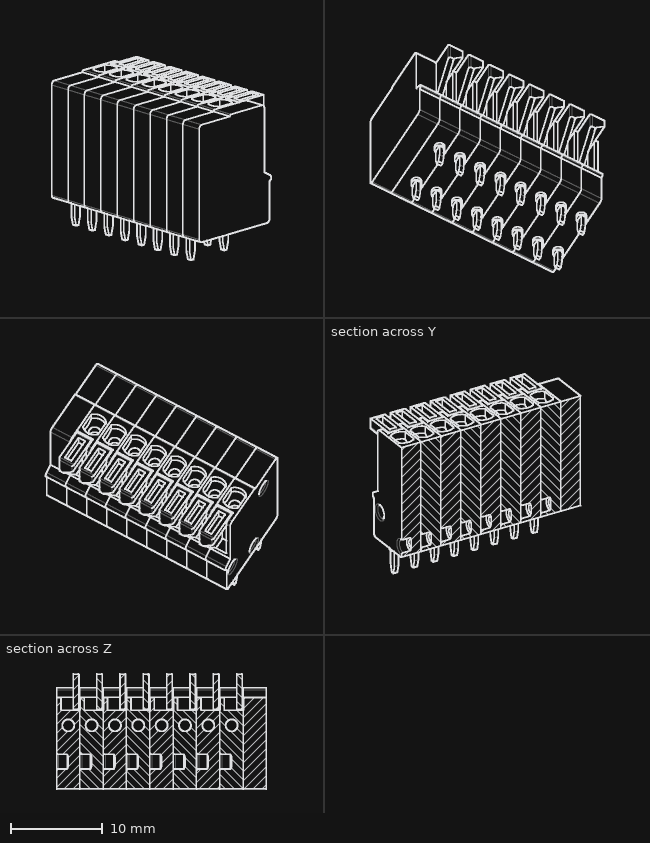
import cadquery as cq
import math

arc_middle_inset = 1 - math.sqrt(0.5)

module_count = 8
row_length = 22.82
end_plate_width = 2.5
module_width = (row_length - end_plate_width) / module_count

total_height = 17.0
pin_length = 3.4
housing_top = total_height - pin_length
top_step_y = 4.7
top_step_radius = 0.2
front_top = housing_top - top_step_radius
upper_back = 10.0
lower_back = 10.77
outer_radius = 0.4

rib_tip_y = 11.05
rib_slope_top = 5.89
rib_tip_top = 5.27
rib_tip_bottom = 4.9
rib_bottom = 4.65
rib_upper_radius = 0.5
rib_lower_radius = 0.11

lever_back = 12.6
lever_front = 8.67
lever_left = 0.6
lever_right = 2.45
lever_slope_top = 10.98
lever_slope_bottom = 6.65
lever_edge_radius = 0.2
neck_left = 1.8
undercut_top = 12.35
undercut_bottom = 11.1
undercut_radius = 0.52

blade_slot_width = 0.82
blade_slot_length = 2.88
blade_slot_depth = 1.1
blade_slot_y = 10.68

recess_left = 0.48
recess_front = 8.6

entry_y = 6.94
entry_radius = 1.3
entry_flat_width = 1.9
entry_depth = 0.9
entry_cone_depth = 0.8
wire_bore_radius = 0.65
wire_bore_depth = 1.15

socket_centers = [(3.0, 10.9), (9.55, 3.51), (5.02, 1.32)]
socket_radius = 0.78
socket_rim_radius = 0.2
socket_depth = 1.15
socket_floor_radius = 0.48
socket_cone_depth = 0.11

pin_x = 0.9
pin_y_centers = [2.8, 7.9]
pin_thickness = 0.52
pin_width = 0.85
pin_tip_width = 0.37
pin_taper_length = 1.0
collar_radius = 0.57
collar_height = 0.5


def housing_block(width):
    """Plain housing slice: the side profile extruded along X from X = 0."""
    arc_offset = top_step_radius * arc_middle_inset
    block = (
        cq.Workplane("YZ")
        .moveTo(0, 0)
        .lineTo(0, front_top)
        .lineTo(top_step_y, front_top)
        .threePointArc(
            (top_step_y + arc_offset, housing_top - arc_offset),
            (top_step_y + top_step_radius, housing_top),
        )
        .lineTo(upper_back, housing_top)
        .lineTo(upper_back, rib_slope_top)
        .lineTo(rib_tip_y, rib_tip_top)
        .lineTo(rib_tip_y, rib_tip_bottom)
        .lineTo(lower_back, rib_bottom)
        .lineTo(lower_back, 0)
        .close()
        .extrude(width)
    )

    def long_edge(y, z):
        return cq.selectors.NearestToPointSelector((width / 2, y, z))

    rounded_edges = [
        (0, 0, outer_radius),
        (0, front_top, outer_radius),
        (lower_back, 0, outer_radius),
        (upper_back, housing_top, outer_radius),
        (rib_tip_y, rib_tip_top, rib_upper_radius),
        (rib_tip_y, rib_tip_bottom, rib_lower_radius),
    ]
    for y, z, radius in rounded_edges:
        block = block.edges(long_edge(y, z)).fillet(radius)
    return block


def lever_recess():
    """Corner pocket cut down from the housing top around the lever."""
    return cq.Workplane("XY").box(
        module_width - recess_left,
        lever_back - recess_front,
        housing_top - lever_slope_bottom,
        centered=False,
    ).translate((recess_left, recess_front, lever_slope_bottom))


def lever():
    """Lever shaped by its side profile, its plan outline and its undercut cross-section."""
    side = (
        cq.Workplane("YZ")
        .moveTo(lever_front, lever_slope_bottom)
        .lineTo(lever_front, housing_top)
        .lineTo(lever_back, housing_top)
        .lineTo(lever_back, lever_slope_top)
        .lineTo(upper_back, lever_slope_bottom)
        .close()
        .extrude(module_width)
        .edges("|X and >Z")
        .fillet(lever_edge_radius)
    )
    lever_length = lever_back - lever_front
    plan = (
        cq.Workplane("XY")
        .box(lever_right - lever_left, lever_length, housing_top, centered=False)
        .edges("|Z")
        .fillet(lever_edge_radius)
        .translate((lever_left, lever_front, 0))
    )
    undercut = (
        cq.Workplane("XZ", origin=(0, lever_back, 0))
        .moveTo(lever_left, housing_top)
        .lineTo(lever_left, undercut_top)
        .lineTo(neck_left, undercut_bottom)
        .lineTo(neck_left, 0)
        .lineTo(lever_right, 0)
        .lineTo(lever_right, housing_top)
        .close()
        .extrude(lever_length)
    )
    for x, z in [(lever_left, undercut_top), (neck_left, undercut_bottom)]:
        bend = cq.selectors.NearestToPointSelector((x, blade_slot_y, z))
        undercut = undercut.edges(bend).fillet(undercut_radius)

    blade_slot = (
        cq.Workplane("XY", origin=((lever_left + lever_right) / 2, blade_slot_y, housing_top))
        .rect(blade_slot_width, blade_slot_length)
        .extrude(-blade_slot_depth)
    )
    return side.intersect(plan).intersect(undercut).cut(blade_slot)


def wire_entry():
    """Cutter for the wire entry, including the bore below its cone."""
    cone_top = housing_top - entry_depth
    bore_top = cone_top - entry_cone_depth
    bore_bottom = bore_top - wire_bore_depth
    funnel = (
        cq.Workplane("XZ")
        .moveTo(0, bore_bottom)
        .lineTo(wire_bore_radius, bore_bottom)
        .lineTo(wire_bore_radius, bore_top)
        .lineTo(entry_radius, cone_top)
        .lineTo(entry_radius, housing_top)
        .lineTo(0, housing_top)
        .close()
        .revolve(360, (0, 0, 0), (0, 1, 0))
    )
    between_flats = cq.Workplane("XY").box(
        entry_flat_width, 2 * entry_radius, housing_top, centered=(True, True, False)
    )
    return funnel.intersect(between_flats).translate((module_width / 2, entry_y, 0))


def socket(y, z):
    """Cutter for one blind socket with a rounded rim and a conical bottom."""
    rim = socket_rim_radius
    rim_middle = rim * arc_middle_inset
    floor_depth = socket_depth + socket_cone_depth
    return (
        cq.Workplane("XY")
        .moveTo(0, 0)
        .lineTo(0, socket_radius + rim)
        .threePointArc((rim_middle, socket_radius + rim_middle), (rim, socket_radius))
        .lineTo(socket_depth, socket_radius)
        .lineTo(floor_depth, socket_floor_radius)
        .lineTo(floor_depth, 0)
        .close()
        .revolve(360, (0, 0, 0), (1, 0, 0))
        .translate((0, y, z))
    )


def solder_pin(y):
    """Round collar under the housing with a flat tapered pin below it."""
    collar = (
        cq.Workplane("XY", origin=(pin_x, y, 0))
        .circle(collar_radius)
        .extrude(-collar_height)
    )
    taper_start = pin_taper_length - pin_length
    blade = (
        cq.Workplane("YZ", origin=(pin_x - pin_thickness / 2, y, 0))
        .moveTo(-pin_width / 2, 0)
        .lineTo(pin_width / 2, 0)
        .lineTo(pin_width / 2, taper_start)
        .lineTo(pin_tip_width / 2, -pin_length)
        .lineTo(-pin_tip_width / 2, -pin_length)
        .lineTo(-pin_width / 2, taper_start)
        .close()
        .extrude(pin_thickness)
    )
    return collar.union(blade)


def terminal_module():
    """One terminal module: housing slice, lever, wire entry, sockets and two pins."""
    module = housing_block(module_width).cut(lever_recess()).union(lever()).cut(wire_entry())
    for y, z in socket_centers:
        module = module.cut(socket(y, z))
    for y in pin_y_centers:
        module = module.union(solder_pin(y))
    return module


first_module = terminal_module()
modules = []
for index in range(module_count):
    module = first_module.translate((index * module_width, 0, 0))
    modules.append(module.val())

end_plate = housing_block(end_plate_width).translate((module_count * module_width, 0, 0))

result = cq.Compound.makeCompound([*modules, end_plate.val()])